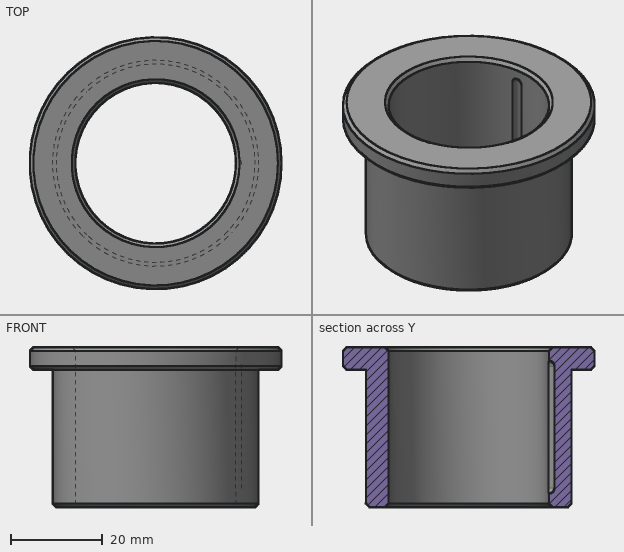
import cadquery as cq

flange_diameter = 55
body_diameter = 45.0
bore_diameter = 35.0
height = 35.0
flange_thickness = 5.0
chamfer = 0.8
groove_diameter = 2.4
groove_end_centre = 4.25

flange = (
    cq.Workplane("XY")
    .workplane(offset=height - flange_thickness)
    .circle(flange_diameter / 2)
    .extrude(flange_thickness)
    .edges()
    .chamfer(chamfer)
)

body = (
    cq.Workplane("XY")
    .circle(body_diameter / 2)
    .extrude(height)
    .faces("<Z")
    .edges()
    .chamfer(chamfer)
)

bore = cq.Workplane("XY").circle(bore_diameter / 2).extrude(height)
mouth_diameter = bore_diameter + 2 * chamfer
upper_mouth = (
    cq.Workplane("XY")
    .workplane(offset=height - chamfer)
    .circle(bore_diameter / 2)
    .workplane(offset=chamfer)
    .circle(mouth_diameter / 2)
    .loft(ruled=True)
)
lower_mouth = upper_mouth.mirror("XY", (0, 0, height / 2))

groove = (
    cq.Workplane("XY")
    .workplane(offset=groove_end_centre)
    .center(bore_diameter / 2, 0)
    .circle(groove_diameter / 2)
    .extrude(height - 2 * groove_end_centre)
)
for end_z in (groove_end_centre, height - groove_end_centre):
    ball_end = cq.Workplane("XY").sphere(groove_diameter / 2).translate((bore_diameter / 2, 0, end_z))
    groove = groove.union(ball_end)

result = body.union(flange).cut(bore).cut(upper_mouth).cut(lower_mouth).cut(groove)